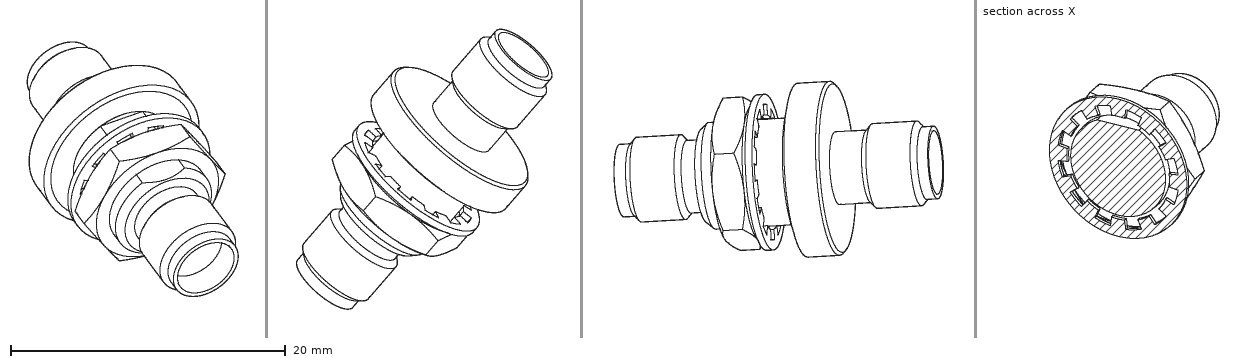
import cadquery as cq
import math

total_length = 23.4
thread_radius = 6.2 / 2
neck_radius = 5.31 / 2
band_chamfer = 0.42
band_length = 4.15
left_band_start = 0.8
right_band_start = 18.4
bore_radius = 2.32
bore_depth = 2.0

flange_start = 7.32
flange_end = 9.9
flange_radius = 12.7 / 2
flange_chamfer = 0.2

barrel_end = 17.2
barrel_radius = 3.93
barrel_chamfer_length = 0.58
barrel_chamfer_height = 0.5
barrel_flat_height = 3.53

seal_outer_radius = 5.78
seal_bulge = 0.42

washer_start = 12.43
washer_thickness = 0.51
washer_radius = 5.69
washer_slot_radius = 4.95
tooth_tip_radius = 4.21
tooth_count = 12

nut_start = 13.31
nut_length = 2.35
nut_across_flats = 10.0
nut_flat_radius = nut_across_flats / 2
nut_corner_radius = nut_flat_radius / math.cos(math.radians(30))
nut_bevel_angle = 30.0


def disc(start, length, radius):
    """Cylinder on the X axis beginning at x = start."""
    return cq.Workplane("YZ", origin=(start, 0, 0)).circle(radius).extrude(length)


def revolve_about_x(profile):
    """Revolve a closed XY profile around the X axis."""
    return profile.revolve(360, (0, 0, 0), (1, 0, 0))


def band_outline(start):
    """Outline points of one raised connector band with chamfered shoulders."""
    end = start + band_length
    return [
        (start, neck_radius),
        (start + band_chamfer, thread_radius),
        (end - band_chamfer, thread_radius),
        (end, neck_radius),
    ]


def make_connector():
    barrel = revolve_about_x(
        cq.Workplane("XY").polyline([
            (flange_end, 0),
            (flange_end, barrel_radius),
            (barrel_end - barrel_chamfer_length, barrel_radius),
            (barrel_end, barrel_radius - barrel_chamfer_height),
            (barrel_end, 0),
        ]).close()
    )
    above_flat = cq.Workplane("XY", origin=(0, 0, barrel_flat_height)).box(
        total_length, 2 * barrel_radius, barrel_radius, centered=(False, True, False)
    )
    barrel = barrel.cut(above_flat)

    core = revolve_about_x(
        cq.Workplane("XY").polyline([
            (0, 0),
            (0, neck_radius),
            *band_outline(left_band_start),
            *band_outline(right_band_start),
            (total_length, neck_radius),
            (total_length, 0),
        ]).close()
    )
    flange = disc(flange_start, flange_end - flange_start, flange_radius)
    flange = flange.faces("<X").chamfer(flange_chamfer)

    connector = core.union(flange).union(barrel)
    for bore_start in (0, total_length - bore_depth):
        connector = connector.cut(disc(bore_start, bore_depth, bore_radius))
    return connector


def make_seal_ring():
    """Ring with a flat back on the flange and a rounded crown."""
    crown_radius = (barrel_radius + seal_outer_radius) / 2
    crown = (flange_end + seal_bulge, crown_radius)
    return revolve_about_x(
        cq.Workplane("XY")
        .moveTo(flange_end, barrel_radius)
        .threePointArc(crown, (flange_end, seal_outer_radius))
        .close()
    )


def make_lock_washer():
    """Flat ring with teeth pointing inward, one tooth at the top."""
    tooth_pitch = 360 / tooth_count
    washer = disc(washer_start, washer_thickness, washer_radius)
    washer = washer.cut(disc(washer_start, washer_thickness, tooth_tip_radius))

    half_angle = math.radians(tooth_pitch / 4)
    corner_y = washer_slot_radius * math.cos(half_angle)
    corner_z = washer_slot_radius * math.sin(half_angle)
    slot = (
        cq.Workplane("YZ", origin=(washer_start, 0, 0))
        .lineTo(corner_y, corner_z)
        .threePointArc((washer_slot_radius, 0), (corner_y, -corner_z))
        .close()
        .extrude(washer_thickness)
    )
    for index in range(tooth_count):
        washer = washer.cut(slot.rotate((0, 0, 0), (1, 0, 0), (index + 0.5) * tooth_pitch))
    return washer


def make_nut():
    """Hex nut with corners on +Y and -Y, bevelled at both ends."""
    nut_end = nut_start + nut_length
    hexagon = (
        cq.Workplane("YZ", origin=(nut_start, 0, 0))
        .polygon(6, 2 * nut_corner_radius)
        .extrude(nut_length)
    )
    bevel_height = nut_corner_radius - nut_flat_radius
    bevel_length = bevel_height * math.tan(math.radians(nut_bevel_angle))
    bevel_envelope = revolve_about_x(
        cq.Workplane("XY").polyline([
            (nut_start, 0),
            (nut_start, nut_flat_radius),
            (nut_start + bevel_length, nut_corner_radius),
            (nut_end - bevel_length, nut_corner_radius),
            (nut_end, nut_flat_radius),
            (nut_end, 0),
        ]).close()
    )
    return hexagon.intersect(bevel_envelope).cut(disc(nut_start, nut_length, barrel_radius))


connector = make_connector()
seal_ring = make_seal_ring()
lock_washer = make_lock_washer()
nut = make_nut()

result = cq.Compound.makeCompound([
    connector.val(),
    seal_ring.val(),
    lock_washer.val(),
    nut.val(),
])